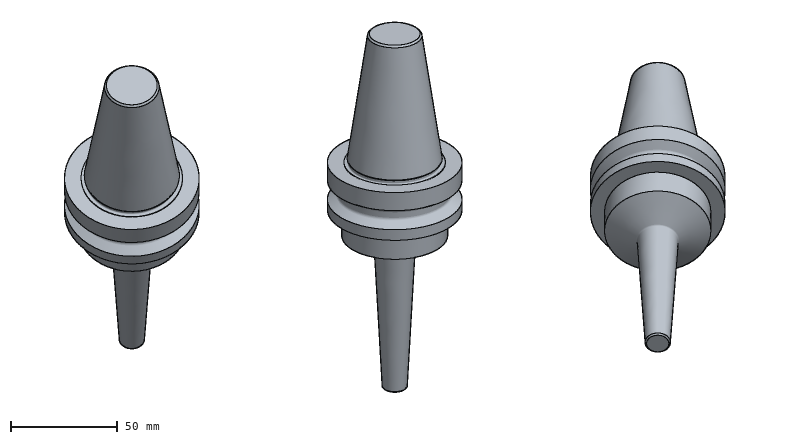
import cadquery as cq

total_length = 185.4

gauge_radius = 22.2
shank_top_radius = 12.8
shank_top_chamfer = 1.0
gauge_height = 120.0
relief_radius = 21.5
relief_step = 0.7

flange_radius = 31.5
flange_top = 118.1
flange_bottom = 93.0
groove_center = 103.6
groove_floor_radius = 26.5
groove_floor_width = 4.5
groove_corner_fillet = 1.3
groove_mouth_width = 10.0
face_recess_radius = 23.7
face_recess_depth = 0.7
face_recess_fillet = 0.5

body_radius = 24.8
body_bottom = 79.7

nose_top = 72.3
nose_top_radius = 9.6
nose_root_fillet = 1.0
tip_radius = 6.0
tip_chamfer = 0.7

profile = [
    (0, 0),
    (tip_radius - tip_chamfer, 0),
    (tip_radius, tip_chamfer),
    (nose_top_radius, nose_top),
    (body_radius, body_bottom),
    (body_radius, flange_bottom),
    (flange_radius, flange_bottom),
    (flange_radius, groove_center - groove_mouth_width / 2),
    (groove_floor_radius, groove_center - groove_floor_width / 2),
    (groove_floor_radius, groove_center + groove_floor_width / 2),
    (flange_radius, groove_center + groove_mouth_width / 2),
    (flange_radius, flange_top),
    (face_recess_radius, flange_top),
    (face_recess_radius, flange_top - face_recess_depth),
    (relief_radius, flange_top - face_recess_depth),
    (relief_radius, gauge_height - relief_step),
    (gauge_radius, gauge_height),
    (shank_top_radius, total_length - shank_top_chamfer),
    (shank_top_radius - shank_top_chamfer, total_length),
    (0, total_length),
]

turned = cq.Workplane("XZ").polyline(profile).close().revolve(360, (0, 0), (0, 1))


def fillet_ring(part, radius, height, fillet):
    """Round the one circular edge with the given radius and height."""
    margin = 0.1
    reach = radius + margin
    ring_zone = cq.selectors.BoxSelector(
        (-reach, -reach, height - margin),
        (reach, reach, height + margin),
        boundingbox=True,
    )
    ring = part.edges("%CIRCLE").edges(ring_zone).edges(cq.selectors.RadiusNthSelector(-1))
    return part.newObject(ring.vals()).fillet(fillet)


result = fillet_ring(turned, nose_top_radius, nose_top, nose_root_fillet)
for side in (-1, 1):
    floor_edge = groove_center + side * groove_floor_width / 2
    result = fillet_ring(result, groove_floor_radius, floor_edge, groove_corner_fillet)
for ring_radius in (face_recess_radius, relief_radius):
    result = fillet_ring(result, ring_radius, flange_top - face_recess_depth, face_recess_fillet)